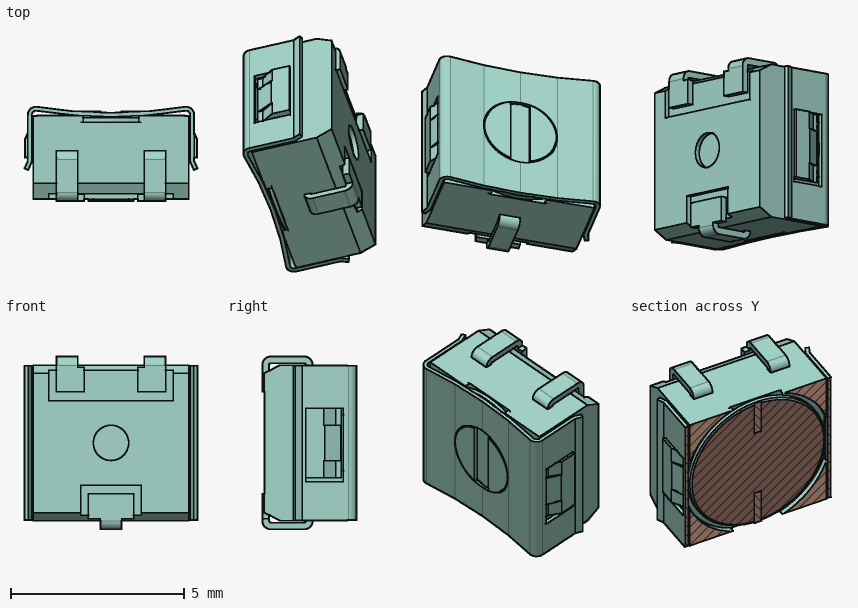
import cadquery as cq
import math

HALF_SIZE = 2.5
TOLERANCE = 0.0005

HOUSING_HALF = 2.25
HOUSING_DEPTH = 2.4
CHAMFER_Y = 0.45
CHAMFER_Z = 0.235
RECESS_DEPTH = 0.15
RECESS_RADIUS = 0.51
NOTCH_END_Z = 1.22
TOP_NOTCH_WIDTH = 3.61
BOTTOM_NOTCH_WIDTH = 1.76
POCKET_RADIUS = 2.39
POCKET_FLOOR_Y = 2.22

LUG_FRONT_Y = 1.2
LUG_HALF_HEIGHT = 1.0
LUG_BASE_STEP = 0.025
LUG_BASE_X = HOUSING_HALF + LUG_BASE_STEP
LUG_TIP_X = 2.485
LUG_CORE_HALF_HEIGHT = 0.51
LUG_SIDE_RAMP = (2.065, 1.72)
LUG_CORE_RAMP = (2.21, 1.74)

CLIP_THICKNESS = 0.12
CLIP_HALF_HEIGHT = 2.23
CLIP_LEG_X = 2.405
CLIP_CENTRE_Y = 2.495
CLIP_KNEE = (1.1, 2.54)
CLIP_CORNER_Y = 2.7
CLIP_CORNER_RADIUS = 0.24
CLIP_LIP_Y = 1.1
CLIP_LIP_ANGLE = math.radians(24.0)
CLIP_HOLE_RADIUS = 1.1
WINDOW_BACK_Y = 2.28
WINDOW_BOTTOM_Z = -1.125

DISC_RADIUS = 2.225
DISC_BACK_Y = 2.415
DISC_BEVEL_Y = 0.07
DISC_BEVEL_RADIAL = 0.1
HUB_RADIUS = 1.075
HUB_BACK_Y = 2.54
ROTOR_SLOT_WIDTH = 0.585

TERMINAL_THICKNESS = 0.2
TERMINAL_FRONT_Y = -0.06
TERMINAL_BACK_Y = 1.4
TERMINAL_BEND_RADIUS = 0.25
FOOT_INNER_Z = 1.475
FOOT_OUTER_Z = 2.19
TOP_TERMINAL_OUTER_X = 1.575
TOP_LEAD_WIDTH = 0.62
TOP_FOOT_WIDTH = 0.8
BOTTOM_LEAD_WIDTH = 0.61
BOTTOM_FOOT_WIDTH = 1.3


def box_between(x_range, y_range, z_range):
    """Axis-aligned box given by its limits along X, Y and Z."""
    size = [high - low for low, high in (x_range, y_range, z_range)]
    corner = (x_range[0], y_range[0], z_range[0])
    return cq.Workplane("XY").box(*size, centered=False).translate(corner)


def cylinder_along_y(radius, front_y, back_y):
    """Cylinder about the Y axis."""
    return cq.Workplane("XZ", origin=(0, front_y, 0)).circle(radius).extrude(front_y - back_y)


def mirrored_in_x(points):
    """Half outline running away from X = 0, completed by its mirror image."""
    left_half = [(-x, y) for x, y in reversed(points) if x > 0]
    return left_half + points


def lug_section(ramp, half_height):
    """Ramped step on the +X wall, symmetric about Z = 0."""
    ramp_start_y, ramp_end_y = ramp
    outline = [
        (HOUSING_HALF, LUG_FRONT_Y),
        (LUG_TIP_X, LUG_FRONT_Y),
        (LUG_TIP_X, ramp_end_y),
        (LUG_BASE_X, ramp_start_y),
        (LUG_BASE_X, POCKET_FLOOR_Y),
        (HOUSING_HALF, POCKET_FLOOR_Y),
    ]
    return cq.Workplane("XY").polyline(outline).close().extrude(half_height, both=True)


def make_housing():
    chamfer_top_z = HOUSING_HALF - CHAMFER_Z
    profile = [
        (0, -chamfer_top_z),
        (CHAMFER_Y, -HOUSING_HALF),
        (HOUSING_DEPTH, -HOUSING_HALF),
        (HOUSING_DEPTH, HOUSING_HALF),
        (CHAMFER_Y, HOUSING_HALF),
        (0, chamfer_top_z),
    ]
    body = cq.Workplane("YZ").polyline(profile).close().extrude(HOUSING_HALF, both=True)

    lug = lug_section(LUG_SIDE_RAMP, LUG_HALF_HEIGHT)
    lug = lug.union(lug_section(LUG_CORE_RAMP, LUG_CORE_HALF_HEIGHT))
    body = body.union(lug).union(lug.mirror("YZ"))

    recess_y = (0, RECESS_DEPTH)
    top_x = (-TOP_NOTCH_WIDTH / 2, TOP_NOTCH_WIDTH / 2)
    bottom_x = (-BOTTOM_NOTCH_WIDTH / 2, BOTTOM_NOTCH_WIDTH / 2)
    body = body.cut(box_between(top_x, recess_y, (NOTCH_END_Z, HOUSING_HALF)))
    body = body.cut(box_between(bottom_x, recess_y, (-HOUSING_HALF, -NOTCH_END_Z)))
    body = body.cut(cylinder_along_y(RECESS_RADIUS, *recess_y))

    return body.cut(cylinder_along_y(POCKET_RADIUS, POCKET_FLOOR_Y, HOUSING_DEPTH))


def offset_polyline(points, distance):
    """Open polyline moved to its right by distance, with mitred corners."""
    headings = [math.atan2(y1 - y0, x1 - x0) for (x0, y0), (x1, y1) in zip(points, points[1:])]
    before = headings[:1] + headings
    after = headings + headings[-1:]
    moved = []
    for (x, y), h0, h1 in zip(points, before, after):
        middle = (h0 + h1) / 2
        reach = distance / math.cos((h1 - h0) / 2)
        moved.append((x + reach * math.sin(middle), y - reach * math.cos(middle)))
    return moved


def fillet_uprights(body, corners, radius):
    """Round the edges parallel to Z that pass through the given XY corners."""
    centres = [cq.Vector(x, y, 0) for x, y in corners]
    uprights = body.edges("|Z").vals()
    chosen = [e for e in uprights if any((e.Center() - c).Length < TOLERANCE for c in centres)]
    return body.newObject(chosen).fillet(radius)


def make_clip():
    lip_drop = (HALF_SIZE - CLIP_LEG_X) / math.tan(CLIP_LIP_ANGLE)
    outer = mirrored_in_x([
        (0, CLIP_CENTRE_Y),
        CLIP_KNEE,
        (CLIP_LEG_X, CLIP_CORNER_Y),
        (CLIP_LEG_X, CLIP_LIP_Y),
        (HALF_SIZE, CLIP_LIP_Y - lip_drop),
    ])
    inner = offset_polyline(outer, CLIP_THICKNESS)
    outline = outer + inner[::-1]
    strip = cq.Workplane("XY").polyline(outline).close().extrude(CLIP_HALF_HEIGHT, both=True)

    lip_bends = (1, -2)
    back_corners = (2, -3)
    strip = fillet_uprights(strip, [outer[i] for i in back_corners], CLIP_CORNER_RADIUS)
    inner_bends = [inner[i] for i in back_corners + lip_bends]
    strip = fillet_uprights(strip, inner_bends, CLIP_CORNER_RADIUS - CLIP_THICKNESS)

    hole = cylinder_along_y(CLIP_HOLE_RADIUS, POCKET_FLOOR_Y, CLIP_CORNER_Y)
    windows = box_between(
        (-HALF_SIZE, HALF_SIZE),
        (LUG_FRONT_Y, WINDOW_BACK_Y),
        (WINDOW_BOTTOM_Z, LUG_HALF_HEIGHT),
    )
    return strip.cut(hole).cut(windows)


def make_rotor(clip):
    profile = [
        (POCKET_FLOOR_Y, 0),
        (POCKET_FLOOR_Y, DISC_RADIUS),
        (DISC_BACK_Y - DISC_BEVEL_Y, DISC_RADIUS),
        (DISC_BACK_Y, DISC_RADIUS - DISC_BEVEL_RADIAL),
        (DISC_BACK_Y, HUB_RADIUS),
        (HUB_BACK_Y, HUB_RADIUS),
        (HUB_BACK_Y, 0),
    ]
    body = cq.Workplane("YZ").polyline(profile).close().revolve(360, (0, 0, 0), (1, 0, 0))
    slot = box_between(
        (-ROTOR_SLOT_WIDTH / 2, ROTOR_SLOT_WIDTH / 2),
        (DISC_BACK_Y, HUB_BACK_Y),
        (-HUB_RADIUS, HUB_RADIUS),
    )
    return body.cut(slot).cut(clip)


def make_terminal(lead_x, foot_x):
    """Terminal on top of the housing: a lead bent over the front edge, ending in a wider foot."""
    foot_back_y = TERMINAL_FRONT_Y + TERMINAL_THICKNESS
    leg_front_y = TERMINAL_BACK_Y - TERMINAL_THICKNESS
    inner_top_z = HALF_SIZE - TERMINAL_THICKNESS
    inner_radius = TERMINAL_BEND_RADIUS - TERMINAL_THICKNESS

    lead = box_between(lead_x, (TERMINAL_FRONT_Y, TERMINAL_BACK_Y), (FOOT_INNER_Z, HALF_SIZE))
    lead = lead.edges("|X and >Z").fillet(TERMINAL_BEND_RADIUS)
    hollow = box_between(lead_x, (foot_back_y, leg_front_y), (FOOT_INNER_Z, inner_top_z))
    lead = lead.cut(hollow.edges("|X and >Z").fillet(inner_radius))

    lead = lead.cut(box_between(lead_x, (leg_front_y, TERMINAL_BACK_Y), (FOOT_INNER_Z, HOUSING_HALF)))

    foot = box_between(foot_x, (TERMINAL_FRONT_Y, foot_back_y), (FOOT_INNER_Z, FOOT_OUTER_Z))
    return lead.union(foot)


def make_top_terminals():
    """Pair of terminals mirrored about X = 0, each foot widened towards the middle."""
    terminals = []
    for side in (-1, 1):
        outer_x = side * TOP_TERMINAL_OUTER_X
        lead_x = sorted((outer_x, outer_x - side * TOP_LEAD_WIDTH))
        foot_x = sorted((outer_x, outer_x - side * TOP_FOOT_WIDTH))
        terminals.append(make_terminal(lead_x, foot_x))
    return terminals


def make_bottom_terminal():
    lead_x = (-BOTTOM_LEAD_WIDTH / 2, BOTTOM_LEAD_WIDTH / 2)
    foot_x = (-BOTTOM_FOOT_WIDTH / 2, BOTTOM_FOOT_WIDTH / 2)
    return make_terminal(lead_x, foot_x).mirror("XY")


housing = make_housing()
clip = make_clip()
rotor = make_rotor(clip)
terminals = make_top_terminals() + [make_bottom_terminal()]

result = cq.Compound.makeCompound([
    housing.val(),
    clip.val(),
    rotor.val(),
    *[terminal.val() for terminal in terminals],
])